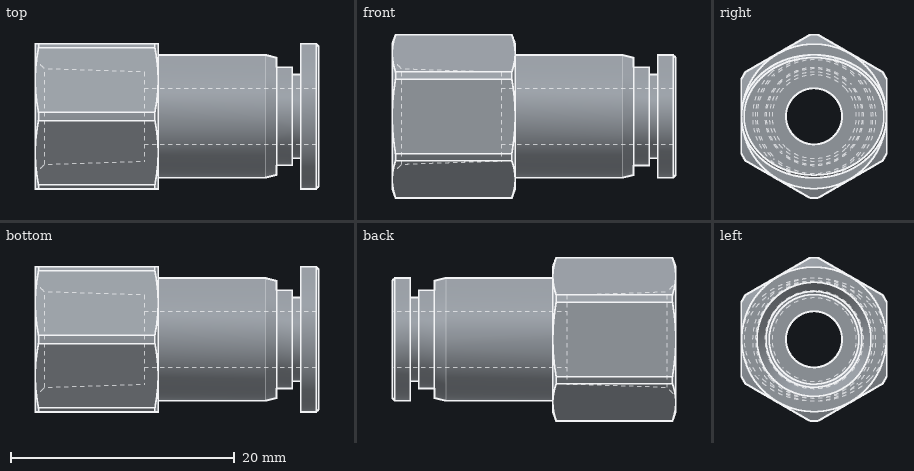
import cadquery as cq
import math

total_length = 25.35
hex_length = 11.0
body_end = 21.57
nose_length = 1.01
collar_end = 23.0
flange_start = 23.73
flange_thickness = total_length - flange_start

hex_sides = 6
hex_across_flats = 13.0
hex_across_corners = 14.6
hex_face_diameter = 12.93
hex_chamfer_length = 0.3

body_diameter = 11.0
nose_diameter = 10.5
collar_diameter = 8.8
neck_diameter = 7.5
flange_width = hex_across_flats
flange_height = body_diameter
flange_chamfer = 0.25

mouth_diameter = 10.2
socket_diameter = 8.57
socket_end_diameter = 8.0
countersink_depth = (mouth_diameter - socket_diameter) / 2
socket_taper = 16
through_diameter = 5.0


def revolve_about_x(profile):
    """Revolve a closed (x, radius) outline about the X axis."""
    return cq.Workplane("XY").polyline(profile).close().revolve(360, (0, 0, 0), (1, 0, 0))


def make_hexagon():
    """Hexagonal prism with corners up and down, turned and chamfered at both ends."""
    corner_diameter = hex_across_flats / math.cos(math.pi / hex_sides)
    prism = (
        cq.Workplane("YZ")
        .transformed(rotate=(0, 0, 90))
        .polygon(hex_sides, corner_diameter)
        .extrude(hex_length)
    )
    face_radius = hex_face_diameter / 2
    turned_radius = hex_across_corners / 2
    turned_blank = revolve_about_x([
        (0, 0),
        (0, face_radius),
        (hex_chamfer_length, turned_radius),
        (hex_length - hex_chamfer_length, turned_radius),
        (hex_length, face_radius),
        (hex_length, 0),
    ])
    return prism.intersect(turned_blank)


def make_body():
    """Round body starting inside the hexagon, its tapered nose, and the sleeve's collar and neck."""
    return revolve_about_x([
        (0, 0),
        (0, body_diameter / 2),
        (body_end - nose_length, body_diameter / 2),
        (body_end, nose_diameter / 2),
        (body_end, collar_diameter / 2),
        (collar_end, collar_diameter / 2),
        (collar_end, neck_diameter / 2),
        (flange_start, neck_diameter / 2),
        (flange_start, 0),
    ])


def make_flange():
    """Elliptical end flange, wide in Y, chamfered on its outer face."""
    return (
        cq.Workplane("YZ", origin=(flange_start, 0, 0))
        .ellipse(flange_width / 2, flange_height / 2)
        .extrude(flange_thickness)
        .faces(">X")
        .chamfer(flange_chamfer)
    )


def make_bore():
    """Countersunk tapered socket with a flat floor, and the hole through the part."""
    socket_depth = countersink_depth + (socket_diameter - socket_end_diameter) * socket_taper
    return revolve_about_x([
        (0, 0),
        (0, mouth_diameter / 2),
        (countersink_depth, socket_diameter / 2),
        (socket_depth, socket_end_diameter / 2),
        (socket_depth, through_diameter / 2),
        (total_length, through_diameter / 2),
        (total_length, 0),
    ])


fitting = make_hexagon().union(make_body()).union(make_flange()).cut(make_bore())
result = fitting.translate((-total_length / 2, 0, 0))